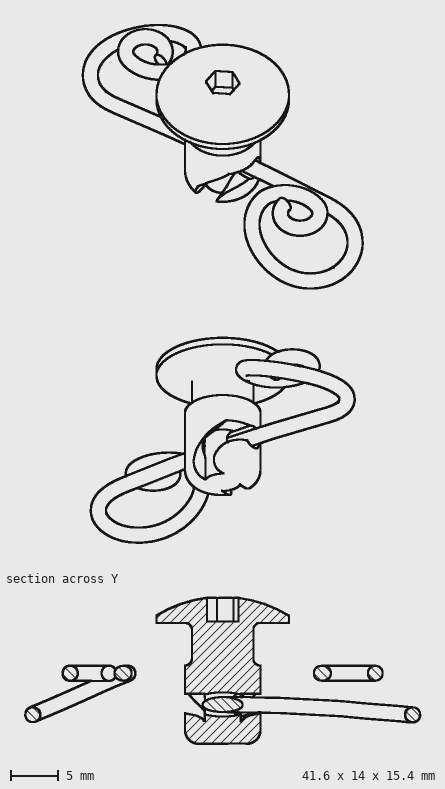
import cadquery as cq
import math

height = 15.4
head_radius = 7.0
rim_bottom = 12.75
rim_top = 13.5
dome_radius = 13.3
neck_radius = 3.25
neck_fillet = 0.7
body_radius = 4.0
body_top = 8.28
nose_radius = 1.5

hex_circumradius = 1.8
hex_depth = 2.5
hex_turn = -10.0

overall_length = 41.6
wire_diameter = 1.62
wire_radius = wire_diameter / 2
wire_angle = 22.3
arm_length = 13.0
arm_peak = 4.15
arm_end_height = 3.75
coil_height = 7.45
coil_center_x = 13.98
coil_radius = 2.1
coil_sweep = 255.0
loop_low_x = overall_length / 2 - wire_radius
loop_low_height = 3.08
bend_radius = 4.05
bend_sweep = 77.0
falling_points = [(14.75, 5.5, 3.5), (18.43, 3.83, 3.2)]
climbing_points = [(loop_low_x, -0.05), (18.45, -3.85), (14.3, -5.5), (11.2, -4.15)]

slot_stations = [
    (0.0, -50, -84),
    (1.87, -38, -79),
    (3.0, -14, -68),
    (4.15, 30, -50),
    (5.3, 22, -26),
]
slot_length = 16.65
slot_seat_radius = 1.25
core_radius = 1.9


def make_blank():
    """Revolved outline of the stud without its cuts."""
    diagonal = 1 - math.sqrt(0.5)
    dome_center = rim_top - math.sqrt(dome_radius**2 - head_radius**2)
    dome_mid_x = head_radius / 2
    dome_mid_z = dome_center + math.sqrt(dome_radius**2 - dome_mid_x**2)
    profile = (
        cq.Workplane("XZ")
        .lineTo(body_radius - nose_radius, 0)
        .threePointArc(
            (body_radius - diagonal * nose_radius, diagonal * nose_radius),
            (body_radius, nose_radius),
        )
        .lineTo(body_radius, body_top)
        .lineTo(neck_radius + neck_fillet, body_top)
        .threePointArc(
            (neck_radius + diagonal * neck_fillet, body_top + diagonal * neck_fillet),
            (neck_radius, body_top + neck_fillet),
        )
        .lineTo(neck_radius, rim_bottom - neck_fillet)
        .threePointArc(
            (neck_radius + diagonal * neck_fillet, rim_bottom - diagonal * neck_fillet),
            (neck_radius + neck_fillet, rim_bottom),
        )
        .lineTo(head_radius, rim_bottom)
        .lineTo(head_radius, rim_top)
        .threePointArc((dome_mid_x, dome_mid_z), (0, dome_center + dome_radius))
        .close()
    )
    return profile.revolve(360, (0, 0, 0), (0, 1, 0))


def make_socket():
    """Hexagonal prism that cuts the drive socket."""
    return (
        cq.Workplane("XY", origin=(0, 0, height - hex_depth))
        .polygon(6, 2 * hex_circumradius)
        .extrude(2 * hex_depth)
        .rotate((0, 0, 0), (0, 0, 1), hex_turn)
    )


def slot_section(z, lower_angle, upper_angle):
    """Rectangle across the barrel that opens both slots at one height."""
    middle = (lower_angle + upper_angle) / 2
    half_angle = math.radians(lower_angle - upper_angle) / 2
    width = 2 * body_radius * math.sin(half_angle)
    section = cq.Workplane("XY", origin=(0, 0, z)).rect(slot_length, width).wires().val()
    return section.rotate(cq.Vector(0, 0, 0), cq.Vector(0, 0, 1), middle)


def make_slot():
    """Two twisted ramps from the nose up to the wire seat, cut in as far as a solid core."""
    ramp = cq.Solid.makeLoft([slot_section(*station) for station in slot_stations])
    core = cq.Workplane().circle(core_radius).extrude(body_top)
    return cq.Workplane(ramp).cut(core)


def make_seat():
    """Round passage across the barrel around the wire."""
    return (
        cq.Workplane("YZ", origin=(-slot_length / 2, 0, 0))
        .center(0, arm_peak)
        .circle(slot_seat_radius)
        .extrude(slot_length)
        .rotate((0, 0, 0), (0, 0, 1), wire_angle)
    )


def make_stud():
    return make_blank().cut(make_socket()).cut(make_slot()).cut(make_seat())


def flat_arc_point(radius, angle):
    """Point at a clockwise angle from +Y on a level arc; all such arcs touch where the coil starts."""
    turn = math.radians(angle)
    center_y = coil_radius - radius
    return cq.Vector(
        coil_center_x + radius * math.sin(turn),
        center_y + radius * math.cos(turn),
        coil_height,
    )


def coil_point(angle):
    return flat_arc_point(coil_radius, angle)


def bend_point(angle):
    return flat_arc_point(bend_radius, angle)


def loop_point(x, y):
    """Point on the outer loop where it climbs in one tilted plane up to the bend."""
    climb = (coil_height - loop_low_height) / (loop_low_x - bend_point(-bend_sweep).x)
    return cq.Vector(x, y, loop_low_height + climb * (loop_low_x - x))


def tube(edge):
    """Round wire along one edge of the centre line."""
    start = cq.Plane(edge.startPoint(), normal=edge.tangentAt(0))
    path = cq.Workplane(cq.Wire.assembleEdges([edge]))
    return cq.Workplane(start).circle(wire_radius).sweep(path)


def make_spring():
    """Arched cross arm with a rising spiral at each end."""
    direction = math.radians(wire_angle)
    arm_x = arm_length * math.cos(direction)
    arm_y = arm_length * math.sin(direction)
    arm_end = cq.Vector(arm_x, arm_y, arm_end_height)
    arm = cq.Edge.makeThreePointArc(
        cq.Vector(-arm_x, -arm_y, arm_end_height), cq.Vector(0, 0, arm_peak), arm_end
    )
    bend = cq.Edge.makeThreePointArc(
        bend_point(-bend_sweep), bend_point(-bend_sweep / 2), bend_point(0)
    )
    loop = cq.Edge.makeSpline(
        [
            arm_end,
            *[cq.Vector(*point) for point in falling_points],
            *[loop_point(*point) for point in climbing_points],
            bend.startPoint(),
        ],
        tangents=[arm.tangentAt(1), bend.tangentAt(0)],
        scale=False,
    )
    coil = cq.Edge.makeThreePointArc(coil_point(0), coil_point(coil_sweep / 2), coil_point(coil_sweep))

    spiral = tube(loop).union(tube(bend)).union(tube(coil))
    opposite = spiral.rotate((0, 0, 0), (0, 0, 1), 180)
    return tube(arm).union(spiral).union(opposite)


stud = make_stud()
spring = make_spring()

result = cq.Compound.makeCompound([*stud.vals(), *spring.vals()])